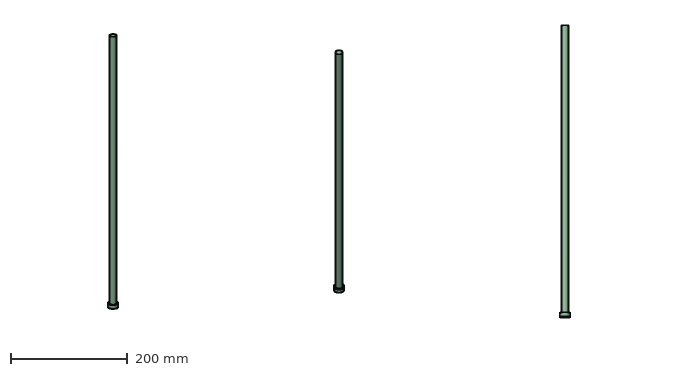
import cadquery as cq

overall_length = 507.0
head_diameter = 18.0
head_height = 7.0
shaft_diameter = 12.0
shaft_length = overall_length - head_height

head = cq.Workplane("XY").circle(head_diameter / 2).extrude(head_height)
shaft = (
    cq.Workplane("XY")
    .workplane(offset=head_height)
    .circle(shaft_diameter / 2)
    .extrude(shaft_length)
)

result = head.union(shaft)